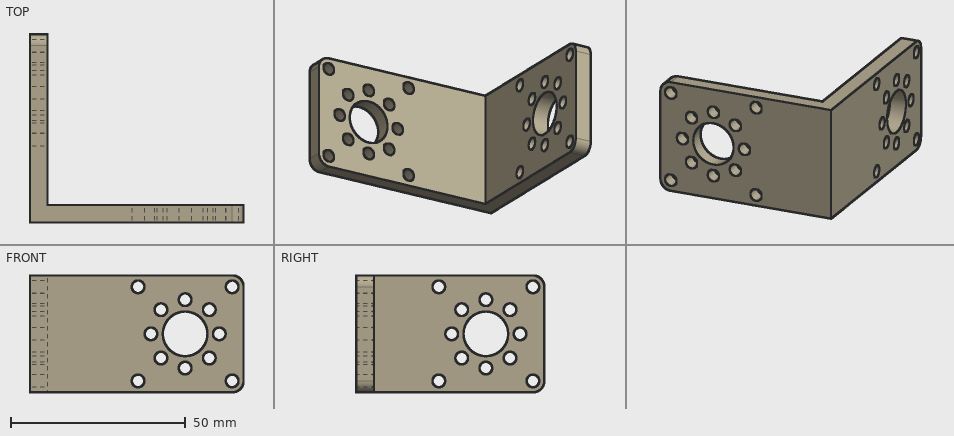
import cadquery as cq

LENGTH_X = 61.21
LENGTH_Y = 53.91
HEIGHT = 33.53
THICKNESS = 5.08
BORE_DIAMETER = 12.7
SCREW_DIAMETER = 3.56
BOLT_CIRCLE_DIAMETER = 19.56
BOLT_COUNT = 8
CORNER_SPACING = 26.92

CORNER_RADIUS = (HEIGHT - CORNER_SPACING) / 2
PATTERN_OFFSET = HEIGHT / 2


def make_leg(length):
    """Plate along +X, filling Y = 0 to THICKNESS, with its rounded free end at X = length."""
    leg = cq.Workplane("XY").box(length, THICKNESS, HEIGHT, centered=False)
    return leg.edges("|Y and >X").fillet(CORNER_RADIUS)


def make_hole_pattern(length):
    """Cutters through a leg: centre bore, bolt circle and square of corner holes."""
    plane = cq.Plane(
        origin=(length - PATTERN_OFFSET, 0, PATTERN_OFFSET),
        xDir=(1, 0, 0),
        normal=(0, -1, 0),
    )
    face = cq.Workplane(plane)
    bore = face.circle(BORE_DIAMETER / 2).extrude(-THICKNESS)
    bolt_holes = (
        face.polarArray(BOLT_CIRCLE_DIAMETER / 2, 0, 360, BOLT_COUNT)
        .circle(SCREW_DIAMETER / 2)
        .extrude(-THICKNESS)
    )
    corner_holes = (
        face.rect(CORNER_SPACING, CORNER_SPACING, forConstruction=True)
        .vertices()
        .circle(SCREW_DIAMETER / 2)
        .extrude(-THICKNESS)
    )
    return bore.union(bolt_holes).union(corner_holes)


def make_drilled_leg(length):
    return make_leg(length).cut(make_hole_pattern(length))


def turn_onto_y(leg):
    """Turn a leg from the X axis onto the Y axis, filling X = 0 to THICKNESS."""
    return leg.rotate((0, 0, 0), (0, 0, 1), 90).translate((THICKNESS, 0, 0))


leg_x = make_drilled_leg(LENGTH_X)
leg_y = turn_onto_y(make_drilled_leg(LENGTH_Y))

result = leg_x.union(leg_y).clean()